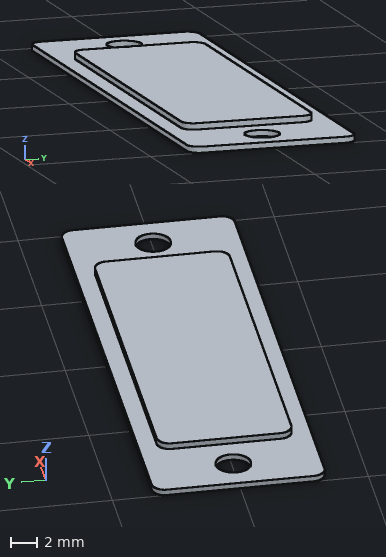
import cadquery as cq

plate_length = 40
plate_width = 13.5
total_height = 1.0

plate_thickness = total_height / 2
pad_thickness = total_height - plate_thickness
pad_length = 28
pad_width = 10.5
corner_radius = 1.0

hole_diameter = 2.7
hole_spacing = 34


def rounded_slab(length, width, thickness):
    """Flat slab centred on the Z axis, resting on Z = 0, with rounded corners."""
    slab = cq.Workplane("XY").box(length, width, thickness, centered=(True, True, False))
    return slab.edges("|Z").fillet(corner_radius)


plate = rounded_slab(plate_length, plate_width, plate_thickness)
plate = plate.faces(">Z").workplane().rarray(hole_spacing, 0.4, 2, 1).hole(hole_diameter)

pad = rounded_slab(pad_length, pad_width, pad_thickness).translate((0, 0, plate_thickness))

result = plate.union(pad)